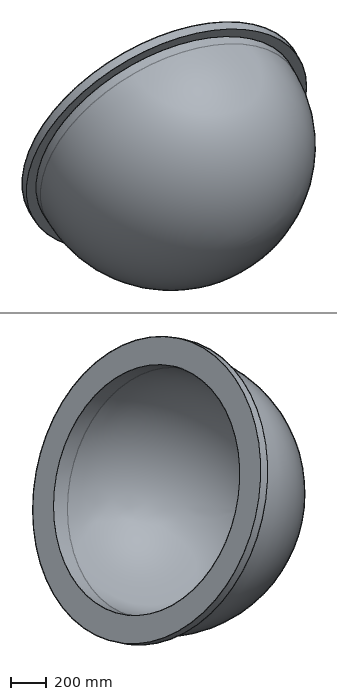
import cadquery as cq
import math

overall_length = 925.0
flange_radius = 1740.0 / 2
dome_outer_radius = 810.0
wall_thickness = 100.0
flange_thickness = 57.5

dome_inner_radius = dome_outer_radius - wall_thickness
dome_center_x = overall_length - dome_outer_radius
inner_apex_x = dome_center_x + dome_inner_radius
arc_cos = math.cos(math.pi / 4)


def arc_midpoint(radius):
    """Point halfway along a quarter circle about the dome centre."""
    return (dome_center_x + radius * arc_cos, radius * arc_cos)


def half_section():
    """Half section in the XY plane: flange, short collar and hemispherical shell."""
    return (
        cq.Workplane("XY")
        .moveTo(0, dome_inner_radius)
        .lineTo(0, flange_radius)
        .lineTo(flange_thickness, flange_radius)
        .lineTo(flange_thickness, dome_outer_radius)
        .lineTo(dome_center_x, dome_outer_radius)
        .threePointArc(arc_midpoint(dome_outer_radius), (overall_length, 0))
        .lineTo(inner_apex_x, 0)
        .threePointArc(arc_midpoint(dome_inner_radius), (dome_center_x, dome_inner_radius))
        .close()
    )


result = half_section().revolve(360, (0, 0, 0), (1, 0, 0))